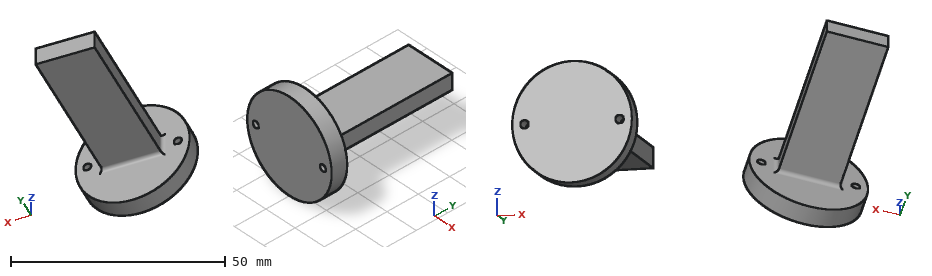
import cadquery as cq

overall_length = 45.0
flange_diameter = 29.0
flange_thickness = 5.0
bar_width = 15.0
bar_height = 5.0
root_fillet = 1.0
hole_diameter = 2.0
hole_spacing = 23.0


def make_flange():
    """Round flange with its outer face on Y = 0, extending toward +Y."""
    return cq.Workplane("XZ").circle(flange_diameter / 2).extrude(-flange_thickness)


def add_bar(body):
    """Rectangular bar on the inner flange face, filleted around its root."""
    bar = cq.Workplane("XZ").rect(bar_width, bar_height).extrude(-overall_length)
    root_edges = cq.selectors.BoxSelector(
        (-bar_width, flange_thickness - root_fillet / 2, -bar_height),
        (bar_width, flange_thickness + root_fillet / 2, bar_height),
    )
    return body.union(bar).edges("%LINE").edges(root_edges).fillet(root_fillet)


def cut_holes(body):
    """Two through holes on the horizontal centreline of the flange."""
    holes = (
        cq.Workplane("XZ")
        .pushPoints([(-hole_spacing / 2, 0), (hole_spacing / 2, 0)])
        .circle(hole_diameter / 2)
        .extrude(-flange_thickness)
    )
    return body.cut(holes)


result = cut_holes(add_bar(make_flange()))